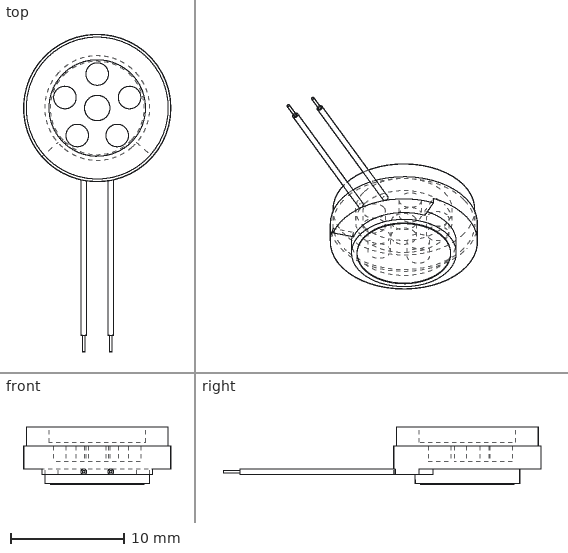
import cadquery as cq
import math

height = 5.1
flange_diameter = 13.0
cap_diameter = 12.5
boss_diameter = 9.25
base_disc_diameter = 8.25
base_disc_height = 0.08
tab_bottom = 0.87
flange_bottom = 1.37
flange_top = 3.41

tab_half_angle = 48.7

recess_diameter = 8.5
recess_depth = 1.4
center_hole_diameter = 2.25
ring_hole_diameter = 2.0
ring_hole_count = 5
ring_radius = 3.0
hole_depth = 1.68

total_length = 28.0
wire_diameter = 0.5
core_diameter = 0.238
wire_spacing = 2.38
wire_clearance = 0.008
bare_length = 1.45

flange_radius = flange_diameter / 2
recess_floor = height - recess_depth
wire_z = tab_bottom + wire_clearance + wire_diameter / 2
core_end = total_length - flange_radius
insulation_end = core_end - bare_length
wire_start = boss_diameter / 2


def disc(diameter, bottom, top):
    return cq.Workplane("XY").workplane(offset=bottom).circle(diameter / 2).extrude(top - bottom)


def make_flange():
    """Flange whose wall runs down past its underside only over the tab sector."""
    angle = math.radians(tab_half_angle)
    corner_x = flange_radius * math.sin(angle)
    corner_y = -flange_radius * math.cos(angle)
    tab_sector = (
        cq.Workplane("XY")
        .workplane(offset=tab_bottom)
        .lineTo(-corner_x, corner_y)
        .threePointArc((0, -flange_radius), (corner_x, corner_y))
        .close()
        .extrude(flange_bottom - tab_bottom)
    )
    relief = disc(flange_diameter, tab_bottom, flange_bottom).cut(tab_sector)
    return disc(flange_diameter, tab_bottom, flange_top).cut(relief)


def make_body():
    body = disc(base_disc_diameter, 0, base_disc_height)
    body = body.union(disc(boss_diameter, base_disc_height, flange_bottom))
    body = body.union(make_flange())
    return body.union(disc(cap_diameter, flange_top, height))


def make_openings():
    hole_bottom = recess_floor - hole_depth
    ring_holes = (
        cq.Workplane("XY")
        .workplane(offset=hole_bottom)
        .polarArray(ring_radius, 90, 360, ring_hole_count)
        .circle(ring_hole_diameter / 2)
        .extrude(hole_depth)
    )
    openings = disc(recess_diameter, recess_floor, height)
    openings = openings.union(disc(center_hole_diameter, hole_bottom, recess_floor))
    return openings.union(ring_holes)


def rod(diameter, x, start, end):
    """Round rod along -Y between two distances from the body axis."""
    return (
        cq.Workplane("XZ", origin=(x, -start, wire_z))
        .circle(diameter / 2)
        .extrude(end - start)
    )


result = make_body().cut(make_openings())
for wire_x in (-wire_spacing / 2, wire_spacing / 2):
    result = result.union(rod(wire_diameter, wire_x, wire_start, insulation_end))
    result = result.union(rod(core_diameter, wire_x, insulation_end, core_end))